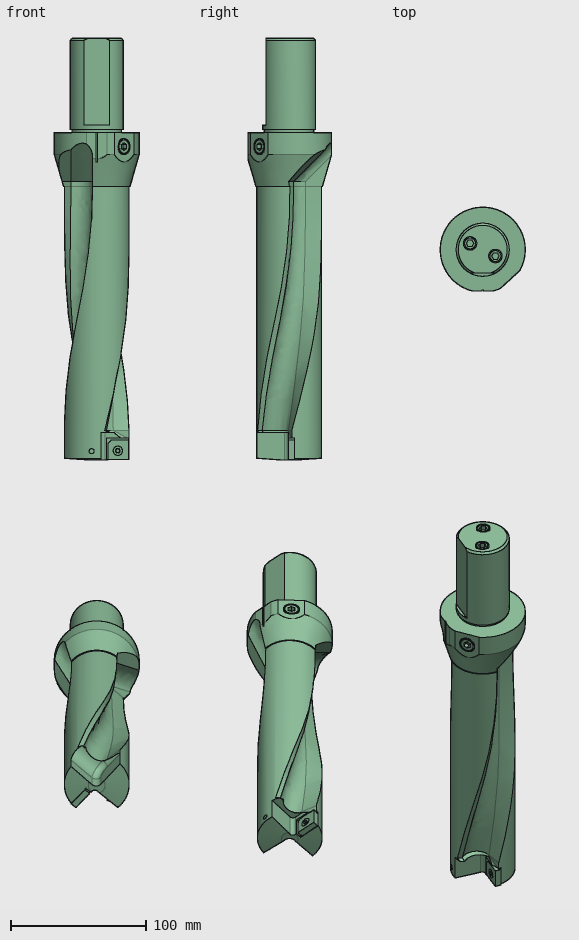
import cadquery as cq
import math


TOTAL_LENGTH = 312.0
SHANK_RADIUS = 19.5
SHANK_CHAMFER = 1.5
SHANK_BOTTOM = 244.3
SHANK_FLAT_DISTANCE = 17.2
SHANK_FLAT_BOTTOM = 247.7
NECK_RADIUS = 18.5

COLLAR_RADIUS = 31.5
COLLAR_TOP = 242.0
COLLAR_CONE_TOP = 226.0
COLLAR_BOTTOM = 202.0
CONE_BOTTOM_RADIUS = 24.5
FRONT_FLAT_DISTANCE = 30.5
PORT_FLAT_DISTANCE = 30.0
PORT_ANGLE = -47.5
FLAT_BOTTOM = 212.0
MARK_WIDTH = 1.0
MARK_DEPTH = 0.5

BODY_RADIUS = 24.0
TIP_RADIUS = 6.2
TIP_HEIGHT = 1.2

FLUTE_WALL_X = -3.0
FLUTE_ARC_RADIUS = 11.2
FLUTE_ARC_CENTER_Y = -12.0
FLUTE_LIP_TOP_X = -19.0
FLUTE_LIP_BOTTOM_X = -21.2
FLUTE_LIP_RUN = 15.5
FLUTE_LIP_RISE = 10.0
FLUTE_CLEARANCE = 37.5

TWIST_RATE = 0.6411
TWIST_EASE_START = 99.8
TWIST_END = COLLAR_BOTTOM
FIRST_FLUTE_BOTTOM = 26.8
SECOND_FLUTE_BOTTOM = 21.8
SECOND_FLUTE_TURN = 185.0
FLUTE_EXIT = 206.0
FLUTE_STEPS = 14
EXIT_RUN = 43.7
RUNOUT_RUN = 12.5
RUNOUT_DROP = 6.5

REACH = 31.2
FRONT_POCKET_WALL_X = 3.0
FRONT_POCKET_FLOOR_Y = -0.5
FRONT_POCKET_HEIGHT = 20.3
BACK_POCKET_WALL_X = 2.0
BACK_POCKET_FLOOR_Y = -1.5
BACK_POCKET_HEIGHT = 25.3
FRONT_POCKET_CORNER_RADIUS = 2.8
BACK_POCKET_CORNER_RADIUS = 4.7
BACK_POCKET_TOP_RADIUS = 12.0

INSERT_LEFT = 8.5
INSERT_RIGHT = 23.7
INSERT_BOTTOM = 0.3
INSERT_TOP = 15.0
INSERT_THICKNESS = 4.7
INSERT_GAP = 1.2
INSERT_CORNER_CHAMFER = 2.5
SCREW_X = 15.5
SCREW_Z = 7.0
SCREW_HEAD_RADIUS = 3.5
SCREW_HEAD_HEIGHT = 2.2
SCREW_RADIUS = 2.0
SCREW_LENGTH = 14.0
SCREW_SOCKET = 3.0
SCREW_SOCKET_DEPTH = 1.5

TIP_HOLE_X = -3.7
TIP_HOLE_Z = 6.5
TIP_HOLE_RADIUS = 2.0
TIP_HOLE_DEPTH = 9.5

SHANK_PLUG_RADIUS = 5.0
SHANK_PLUG_X = 9.5
SHANK_PLUG_Y = -4.7
SHANK_PLUG_SOCKET = 5.5
PORT_PLUG_RADIUS = 6.0
PORT_PLUG_Z = 231.8
PORT_PLUG_SOCKET = 5.5
PLUG_LENGTH = 9.5
PLUG_CHAMFER = 1.0
PLUG_SOCKET_DEPTH = 3.7


def box(x_range, y_range, z_range):
    """A box between the given limits."""
    size = [high - low for low, high in (x_range, y_range, z_range)]
    corner = cq.Vector(x_range[0], y_range[0], z_range[0])
    return cq.Workplane(cq.Solid.makeBox(*size, corner))


def turned_blank():
    """Shank, neck, collar and body as one turned shape."""
    outline = [
        (0, 0),
        (TIP_RADIUS, 0),
        (BODY_RADIUS, TIP_HEIGHT),
        (BODY_RADIUS, COLLAR_BOTTOM),
        (CONE_BOTTOM_RADIUS, COLLAR_BOTTOM),
        (COLLAR_RADIUS, COLLAR_CONE_TOP),
        (COLLAR_RADIUS, COLLAR_TOP),
        (NECK_RADIUS, COLLAR_TOP),
        (NECK_RADIUS, SHANK_BOTTOM),
        (SHANK_RADIUS, SHANK_BOTTOM),
        (SHANK_RADIUS, TOTAL_LENGTH - SHANK_CHAMFER),
        (SHANK_RADIUS - SHANK_CHAMFER, TOTAL_LENGTH),
        (0, TOTAL_LENGTH),
    ]
    return cq.Workplane("XZ").polyline(outline).close().revolve(360, (0, 0, 0), (0, 1, 0))


def shank_flat():
    """Stock removed by the clamping flat, on the -Y side."""
    return box(
        (-SHANK_RADIUS, SHANK_RADIUS),
        (-SHANK_RADIUS, -SHANK_FLAT_DISTANCE),
        (SHANK_FLAT_BOTTOM, TOTAL_LENGTH),
    )


def collar_flat(distance, angle):
    """Stock removed by a collar flat that faces the given direction."""
    flat = box(
        (distance, COLLAR_RADIUS + 3),
        (-COLLAR_RADIUS, COLLAR_RADIUS),
        (FLAT_BOTTOM, COLLAR_TOP),
    )
    return flat.rotate((0, 0, 0), (0, 0, 1), angle)


def index_mark():
    """Scribed line down the middle of the front collar flat."""
    return box(
        (-MARK_WIDTH / 2, MARK_WIDTH / 2),
        (-COLLAR_RADIUS, MARK_DEPTH - FRONT_FLAT_DISTANCE),
        (FLAT_BOTTOM, COLLAR_TOP),
    )


def flute_twist(z):
    """Turn of the flute section about Z, in degrees, at height z."""
    ease_length = TWIST_END - TWIST_EASE_START
    eased = min(max(TWIST_END - z, 0), ease_length)
    steady = max(TWIST_EASE_START - z, 0)
    return -TWIST_RATE * (eased**2 / (2 * ease_length) + steady)


def flute_section(z):
    """Closed flute outline at height z, open towards the outside of the body."""
    center_x = FLUTE_WALL_X - FLUTE_ARC_RADIUS
    height_share = min(z / TWIST_END, 1)
    lip_x = FLUTE_LIP_BOTTOM_X + (FLUTE_LIP_TOP_X - FLUTE_LIP_BOTTOM_X) * height_share
    lip_angle = math.acos((lip_x - center_x) / FLUTE_ARC_RADIUS)

    def on_arc(angle):
        return (
            center_x + FLUTE_ARC_RADIUS * math.cos(angle),
            FLUTE_ARC_CENTER_Y + FLUTE_ARC_RADIUS * math.sin(angle),
        )

    lip = on_arc(lip_angle)
    outline = (
        cq.Workplane("XY")
        .moveTo(FLUTE_WALL_X, -FLUTE_CLEARANCE)
        .lineTo(*on_arc(0))
        .threePointArc(on_arc(lip_angle / 2), lip)
        .lineTo(lip[0] - FLUTE_LIP_RUN, lip[1] + FLUTE_LIP_RISE)
        .lineTo(-FLUTE_CLEARANCE, -FLUTE_CLEARANCE)
        .close()
    )
    wire = outline.val().rotate(cq.Vector(), cq.Vector(0, 0, 1), flute_twist(z))
    return wire.translate(cq.Vector(0, 0, z))


def slanted_end(z, run, rise):
    """Flute end that leaves the body at a slant, starting at height z and shifted by run and rise."""
    start = flute_section(z)
    wall_angle = math.radians(flute_twist(z) - 90)
    shift = cq.Vector(run * math.cos(wall_angle), run * math.sin(wall_angle), rise)
    return cq.Workplane(cq.Solid.makeLoft([start, start.translate(shift)], True))


def flute(bottom):
    """One flute from the given height up: runout, twisted length, straight top and collar exit."""
    step = (TWIST_END - bottom) / FLUTE_STEPS
    heights = [bottom + i * step for i in range(FLUTE_STEPS + 1)]
    twisted = cq.Workplane(cq.Solid.makeLoft([flute_section(z) for z in heights]))
    straight = cq.Workplane(
        cq.Solid.makeLoft([flute_section(TWIST_END), flute_section(FLUTE_EXIT)], True)
    )
    top_exit = slanted_end(FLUTE_EXIT, EXIT_RUN, EXIT_RUN)
    runout = slanted_end(bottom, RUNOUT_RUN, -RUNOUT_DROP)
    return [runout, twisted, straight, top_exit]


def front_pocket():
    """Pocket above the outer insert, facing -Y on the +X side."""
    pocket = box(
        (FRONT_POCKET_WALL_X, REACH), (-REACH, FRONT_POCKET_FLOOR_Y), (0, FRONT_POCKET_HEIGHT)
    )
    return pocket.edges("|Z and <X and >Y").fillet(FRONT_POCKET_CORNER_RADIUS)


def back_pocket():
    """Pocket facing +Y on the -X side, rounded along the top and the inner corner of its wall."""
    pocket = box(
        (-REACH, BACK_POCKET_WALL_X), (BACK_POCKET_FLOOR_Y, REACH), (0, BACK_POCKET_HEIGHT)
    )
    pocket = pocket.edges("|Y and >X and >Z").fillet(BACK_POCKET_TOP_RADIUS)
    return pocket.edges("|Z and >X and <Y").fillet(BACK_POCKET_CORNER_RADIUS)


def insert_seat():
    """Recess that holds the insert, with a relief gap beside it and above it."""
    return box(
        (INSERT_LEFT - INSERT_GAP, REACH),
        (FRONT_POCKET_FLOOR_Y, FRONT_POCKET_FLOOR_Y + INSERT_THICKNESS),
        (0, INSERT_TOP + INSERT_GAP),
    )


def insert_screw_blank():
    """Countersunk screw along Y, without its socket."""
    outline = [
        (0, 0),
        (SCREW_HEAD_RADIUS, 0),
        (SCREW_RADIUS, SCREW_HEAD_HEIGHT),
        (SCREW_RADIUS, SCREW_LENGTH),
        (0, SCREW_LENGTH),
    ]
    turned = cq.Workplane("XY").polyline(outline).close().revolve(360, (0, 0, 0), (0, 1, 0))
    return turned.translate((SCREW_X, FRONT_POCKET_FLOOR_Y, SCREW_Z))


def make_insert_screw():
    """Insert screw with its hexagon socket."""
    face = cq.Workplane("XZ", origin=(SCREW_X, FRONT_POCKET_FLOOR_Y, SCREW_Z))
    socket = face.polygon(6, SCREW_SOCKET).extrude(-SCREW_SOCKET_DEPTH)
    return insert_screw_blank().cut(socket)


def make_insert():
    """Square cutting insert with one clipped corner and a countersunk screw hole."""
    plate = box(
        (INSERT_LEFT, INSERT_RIGHT),
        (FRONT_POCKET_FLOOR_Y, FRONT_POCKET_FLOOR_Y + INSERT_THICKNESS),
        (INSERT_BOTTOM, INSERT_TOP),
    )
    plate = plate.edges("|Y and <X and >Z").chamfer(INSERT_CORNER_CHAMFER)
    return plate.cut(insert_screw_blank())


def tip_hole():
    """Blind hole into the -Y side near the tip."""
    face = cq.Workplane("XZ", origin=(TIP_HOLE_X, -BODY_RADIUS, TIP_HOLE_Z))
    return face.circle(TIP_HOLE_RADIUS).extrude(-TIP_HOLE_DEPTH)


def plug_blank(plane, radius):
    """Plug whose chamfered head lies on the given plane and whose body goes in behind it."""
    return cq.Workplane(plane).circle(radius).extrude(-PLUG_LENGTH)


def make_plug(plane, radius, socket):
    """Plug with a chamfered rim and a hexagon socket."""
    drive = cq.Workplane(plane).polygon(6, socket).extrude(-PLUG_SOCKET_DEPTH)
    plug = plug_blank(plane, radius)
    rim = plug.faces(cq.selectors.DirectionMinMaxSelector(plane.zDir, True))
    return rim.chamfer(PLUG_CHAMFER).cut(drive)


def plug_places():
    """Plane, radius and socket size of every coolant plug."""
    places = []
    for side in (1, -1):
        origin = (side * SHANK_PLUG_X, side * SHANK_PLUG_Y, TOTAL_LENGTH)
        places.append((cq.Plane(origin), SHANK_PLUG_RADIUS, SHANK_PLUG_SOCKET))
    angle = math.radians(PORT_ANGLE)
    outward = cq.Vector(math.cos(angle), math.sin(angle), 0)
    center = outward * PORT_FLAT_DISTANCE + cq.Vector(0, 0, PORT_PLUG_Z)
    port = cq.Plane(center, (0, 0, 1), outward)
    places.append((port, PORT_PLUG_RADIUS, PORT_PLUG_SOCKET))
    return places


def make_drill_body():
    """Drill body with its flats, flutes, pockets and plug holes."""
    body = turned_blank().cut(shank_flat())
    body = body.cut(collar_flat(FRONT_FLAT_DISTANCE, -90))
    body = body.cut(collar_flat(PORT_FLAT_DISTANCE, PORT_ANGLE))
    body = body.cut(index_mark())
    for bottom, turn in ((FIRST_FLUTE_BOTTOM, 0), (SECOND_FLUTE_BOTTOM, SECOND_FLUTE_TURN)):
        for cutter in flute(bottom):
            body = body.cut(cutter.rotate((0, 0, 0), (0, 0, 1), turn))
    for cutter in (front_pocket(), back_pocket(), insert_seat(), insert_screw_blank(), tip_hole()):
        body = body.cut(cutter)
    for plane, radius, _ in plug_places():
        body = body.cut(plug_blank(plane, radius))
    return body


drill_body = make_drill_body()
insert = make_insert()
insert_screw = make_insert_screw()
plugs = [make_plug(*place) for place in plug_places()]

result = cq.Compound.makeCompound(
    [drill_body.val(), insert.val(), insert_screw.val(), *[plug.val() for plug in plugs]]
)